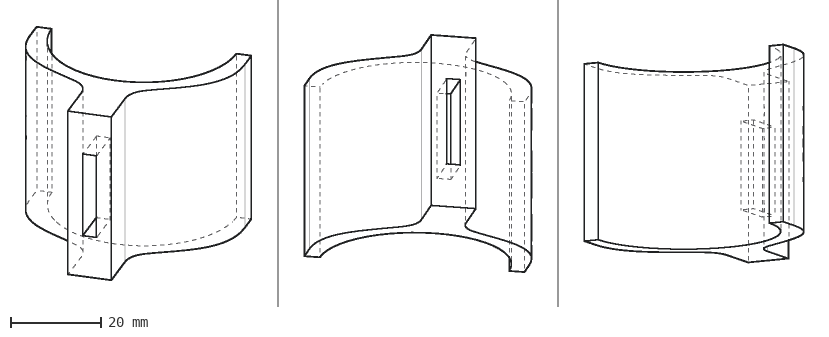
import cadquery as cq

width = 49.95
depth = 40.0
height = 40.0

bore_radius = 21.5
arm_straight = 5.0
stem_width = 10.15
stem_length = 10.0

slot_width = 3.15
slot_height = 20.0
slot_depth = 10.0

flank_x = 9.1
flank_y = -23.95
flank_slope = (-1.8, -1.0)

half_width = width / 2
half_stem = stem_width / 2
stem_start_y = -depth + stem_length


def flank_points(side):
    """Outer curve from the arm to the stem; side is +1 or -1 along X."""
    return [
        (side * half_width, -arm_straight),
        (side * flank_x, flank_y),
        (side * half_stem, stem_start_y),
    ]


def flank_tangents(side):
    """Directions along the curve: straight down at both ends."""
    return [(0, -1), (side * flank_slope[0], flank_slope[1]), (0, -1)]


def make_body():
    """Y-shaped profile, open at y = 0, extruded along Z."""
    right_tangents = flank_tangents(1)
    left_tangents = [(-x, -y) for x, y in reversed(flank_tangents(-1))]
    return (
        cq.Workplane("XY")
        .moveTo(bore_radius, 0)
        .lineTo(half_width, 0)
        .lineTo(half_width, -arm_straight)
        .spline(flank_points(1)[1:], tangents=right_tangents, includeCurrent=True)
        .lineTo(half_stem, -depth)
        .lineTo(-half_stem, -depth)
        .lineTo(-half_stem, stem_start_y)
        .spline(flank_points(-1)[::-1][1:], tangents=left_tangents, includeCurrent=True)
        .lineTo(-half_width, 0)
        .lineTo(-bore_radius, 0)
        .threePointArc((0, -bore_radius), (bore_radius, 0))
        .close()
        .extrude(height)
    )


def make_slot():
    """Rectangular pocket centred on the stem's end face."""
    return (
        cq.Workplane("XY")
        .box(slot_width, slot_depth, slot_height, centered=(True, False, True))
        .translate((0, -depth, height / 2))
    )


result = make_body().cut(make_slot())